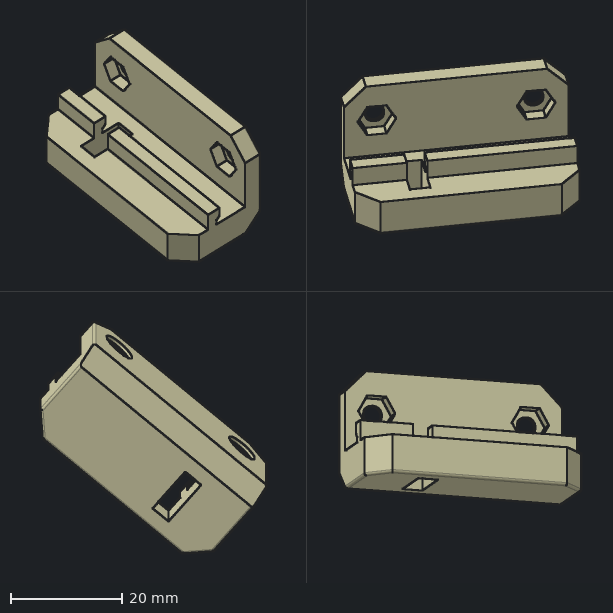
import cadquery as cq

length = 41.0
depth = 18.8
height = 22.0

base_thickness = 7.0
wall_thickness = 3.8
corner_chamfer = 3.98
edge_radius = 0.5

rail_front = 6.2
rail_thickness = 2.7
rail_height = 3.7
undercut_depth = 0.75
undercut_height = 1.0

slot_left = 9.9
slot_width = 3.75
slot_front = 3.08
slot_length = 8.98

hole_diameter = 3.5
hole_end_distance = 6.0
hole_height = 14.5
nut_corner_diameter = 6.95
nut_depth = 2.38
head_diameter = 6.0
head_depth = 0.78

wall_front = depth - wall_thickness


def make_upright_envelope():
    """Full block with chamfered top corners and rounded rear edges."""
    block = cq.Workplane("XY").box(length, depth, height, centered=False)
    block = block.edges("|Y and >Z").chamfer(corner_chamfer)
    return block.faces(">Y").edges("not <Z").fillet(edge_radius)


def make_base_envelope():
    """Full block with chamfered front corners and rounded bottom edges."""
    block = cq.Workplane("XY").box(length, depth, height, centered=False)
    block = block.edges("|Z and <Y").chamfer(corner_chamfer)
    return block.faces("<Z").edges("not >Y").fillet(edge_radius)


def make_profile():
    """Base, hooked rail and wall as one cross-section along the full length."""
    rail_rear = rail_front + rail_thickness
    stem_rear = rail_rear - undercut_depth
    stem_top = base_thickness + undercut_height
    rail_top = base_thickness + rail_height
    outline = [
        (0, 0),
        (0, base_thickness),
        (rail_front, base_thickness),
        (rail_front, rail_top),
        (rail_rear, rail_top),
        (rail_rear, stem_top + undercut_depth),
        (stem_rear, stem_top),
        (stem_rear, base_thickness),
        (wall_front, base_thickness),
        (wall_front, height),
        (depth, height),
        (depth, corner_chamfer),
        (depth - corner_chamfer, 0),
    ]
    return cq.Workplane("YZ").polyline(outline).close().extrude(length)


def make_body():
    """Cross-section trimmed by the corner chamfers and rounded edges."""
    return make_profile().intersect(make_upright_envelope()).intersect(make_base_envelope())


def make_slot():
    """Rectangular cutter through the rail and the base."""
    return (
        cq.Workplane("XY")
        .box(slot_width, slot_length, height, centered=False)
        .translate((slot_left, slot_front, 0))
    )


def make_screw_hole(x):
    """Cutter for a hole with a nut pocket in front and a screw head recess behind."""
    front_plane = cq.Workplane("XZ", origin=(x, wall_front, hole_height))
    hole = front_plane.circle(hole_diameter / 2).extrude(-wall_thickness)
    nut_pocket = front_plane.polygon(6, nut_corner_diameter).extrude(-nut_depth)
    rear_plane = cq.Workplane("XZ", origin=(x, depth, hole_height))
    head_recess = rear_plane.circle(head_diameter / 2).extrude(head_depth)
    return hole.union(nut_pocket).union(head_recess)


result = make_body().cut(make_slot())
for hole_x in (hole_end_distance, length - hole_end_distance):
    result = result.cut(make_screw_hole(hole_x))